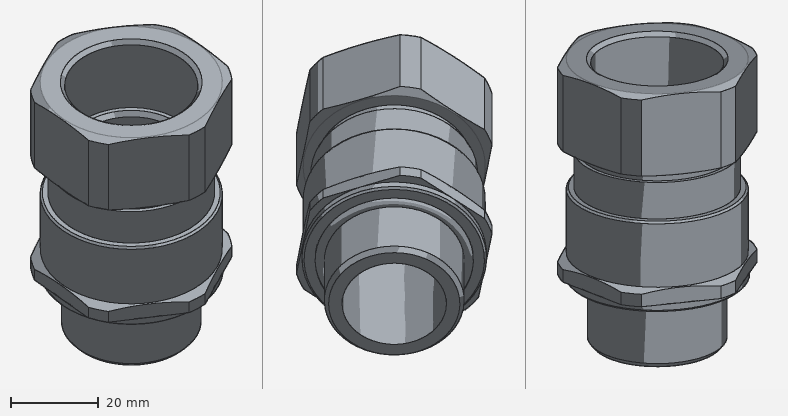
import cadquery as cq
import math

HEX_ROTATION = 30.0
ACROSS_FLATS = 42.0
ACROSS_CORNERS = 46.0
HEX_CHAMFER_RADIUS = 20.7

TOTAL_HEIGHT = 69.75
SEAL_BOTTOM = 14.7
FLANGE_BOTTOM = 16.0
HEX_FLANGE_BOTTOM = 18.1
SLEEVE_BOTTOM = 22.05
SLEEVE_TOP = 38.15
SHOULDER_TOP = 47.15
CAP_HEX_BOTTOM = 49.7
SPIGOT_TOP = 50.8

THREAD_RADIUS = 15.9
THREAD_CHAMFER_WIDTH = 1.0
THREAD_CHAMFER_HEIGHT = 1.2
FLANGE_RADIUS = ACROSS_FLATS / 2
FLANGE_CHAMFER = 0.5
FLANGE_CORNER_DROP = 0.9
SLEEVE_RADIUS = 20.7
SLEEVE_CHAMFER = 0.5
SHOULDER_RADIUS = 19.0
LOWER_BORE_RADIUS = 11.85
UPPER_BORE_RADIUS = 13.05
FUNNEL_CHAMFER = 1.05

CAP_BORE_RADIUS = 15.15
CAP_BORE_CHAMFER = 1.0
NECK_RADIUS = 18.0
CAP_TOP_CORNER_DROP = 0.7
CAP_BOTTOM_CORNER_RISE = 0.55

SEAL_SECTION_RADIUS = 1.05
SEAL_CENTRE_RADIUS = THREAD_RADIUS + SEAL_SECTION_RADIUS
SEAL_CENTRE_HEIGHT = SEAL_BOTTOM + SEAL_SECTION_RADIUS

GROOVE_RADIUS = SEAL_CENTRE_RADIUS + SEAL_SECTION_RADIUS
GROOVE_TOP = SEAL_CENTRE_HEIGHT + SEAL_SECTION_RADIUS


def revolve_profile(points):
    """Turn a closed (radius, height) outline about the Z axis."""
    return cq.Workplane("XZ").polyline(points).close().revolve(360, (0, 0), (0, 1))


def hexagon_block(bottom, top, bottom_rise, top_drop):
    """Hexagon with flats facing +X and -X, whose turned corners are coned at the ends."""
    sharp_corner_diameter = ACROSS_FLATS / math.cos(math.pi / 6)
    prism = (
        cq.Workplane("XY", origin=(0, 0, bottom))
        .transformed(rotate=(0, 0, HEX_ROTATION))
        .polygon(6, sharp_corner_diameter)
        .extrude(top - bottom)
    )
    corner_radius = ACROSS_CORNERS / 2
    bottom_radius = HEX_CHAMFER_RADIUS if bottom_rise else corner_radius
    outline = [(0, bottom), (bottom_radius, bottom)]
    if bottom_rise:
        outline.append((corner_radius, bottom + bottom_rise))
    outline += [
        (corner_radius, top - top_drop),
        (HEX_CHAMFER_RADIUS, top),
        (0, top),
    ]
    return prism.intersect(revolve_profile(outline))


def make_body():
    """Threaded entry, hexagon flange, sleeve, shoulder and the spigot that fits in the cap."""
    turned = revolve_profile([
        (0, 0),
        (THREAD_RADIUS - THREAD_CHAMFER_WIDTH, 0),
        (THREAD_RADIUS, THREAD_CHAMFER_HEIGHT),
        (THREAD_RADIUS, GROOVE_TOP),
        (GROOVE_RADIUS, GROOVE_TOP),
        (GROOVE_RADIUS, FLANGE_BOTTOM),
        (FLANGE_RADIUS - FLANGE_CHAMFER, FLANGE_BOTTOM),
        (FLANGE_RADIUS, FLANGE_BOTTOM + FLANGE_CHAMFER),
        (FLANGE_RADIUS, HEX_FLANGE_BOTTOM),
        (SLEEVE_RADIUS, HEX_FLANGE_BOTTOM),
        (SLEEVE_RADIUS, SLEEVE_TOP - SLEEVE_CHAMFER),
        (SLEEVE_RADIUS - SLEEVE_CHAMFER, SLEEVE_TOP),
        (SHOULDER_RADIUS, SLEEVE_TOP),
        (SHOULDER_RADIUS, SHOULDER_TOP),
        (CAP_BORE_RADIUS, SHOULDER_TOP),
        (CAP_BORE_RADIUS, SPIGOT_TOP),
        (0, SPIGOT_TOP),
    ])
    hexagon = hexagon_block(HEX_FLANGE_BOTTOM, SLEEVE_BOTTOM, 0, FLANGE_CORNER_DROP)
    tapered_bore = revolve_profile([
        (0, 0),
        (LOWER_BORE_RADIUS, 0),
        (UPPER_BORE_RADIUS, SPIGOT_TOP - FUNNEL_CHAMFER),
        (UPPER_BORE_RADIUS + FUNNEL_CHAMFER, SPIGOT_TOP),
        (0, SPIGOT_TOP),
    ])
    return turned.union(hexagon).cut(tapered_bore)


def make_cap():
    """Hexagon cap nut with a round neck that rests on the body shoulder."""
    hexagon = hexagon_block(
        CAP_HEX_BOTTOM, TOTAL_HEIGHT, CAP_BOTTOM_CORNER_RISE, CAP_TOP_CORNER_DROP
    )
    neck = (
        cq.Workplane("XY", origin=(0, 0, SHOULDER_TOP))
        .circle(NECK_RADIUS)
        .extrude(CAP_HEX_BOTTOM - SHOULDER_TOP)
    )
    bore = revolve_profile([
        (0, SHOULDER_TOP),
        (CAP_BORE_RADIUS, SHOULDER_TOP),
        (CAP_BORE_RADIUS, TOTAL_HEIGHT - CAP_BORE_CHAMFER),
        (CAP_BORE_RADIUS + CAP_BORE_CHAMFER, TOTAL_HEIGHT),
        (0, TOTAL_HEIGHT),
    ])
    return hexagon.union(neck).cut(bore)


def make_sealing_ring():
    """O-ring around the thread, seated in the groove under the flange."""
    return (
        cq.Workplane("XZ")
        .center(SEAL_CENTRE_RADIUS, SEAL_CENTRE_HEIGHT)
        .circle(SEAL_SECTION_RADIUS)
        .revolve(360, (-SEAL_CENTRE_RADIUS, 0), (-SEAL_CENTRE_RADIUS, 1))
    )


body = make_body()
cap = make_cap()
sealing_ring = make_sealing_ring()

result = cq.Compound.makeCompound([body.val(), cap.val(), sealing_ring.val()])